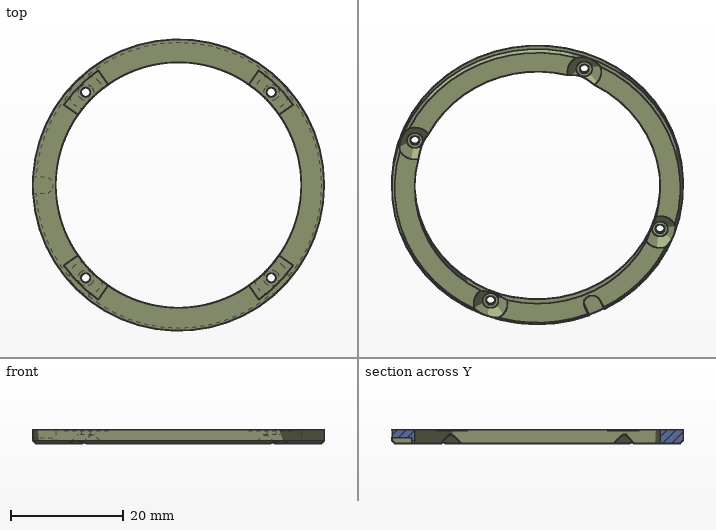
import cadquery as cq
import math

outer_radius = 26.0
bore_radius = 21.9
thickness = 2.5
bottom_chamfer = 0.5

pad_outer_radius = 24.95
pad_half_angle = math.radians(10)
pad_depth = 0.2

station_angles = [45, 135, 225, 315]
screw_circle_radius = 23.4
screw_hole_radius = 1.6 / 2
countersink_radius = 3.0
countersink_depth = 1.6

notch_width = 3.0
notch_height = 1.0
notch_end_center = (outer_radius + bore_radius) / 2


def ring():
    body = cq.Workplane("XY").circle(outer_radius).extrude(thickness)
    body = body.faces("<Z").edges().chamfer(bottom_chamfer)
    bore = cq.Workplane("XY").circle(bore_radius).extrude(thickness)
    return body.cut(bore)


def pad_cutter():
    """Sector about the +X axis, running from inside the bore to the pad's outer arc."""
    corner_x = pad_outer_radius * math.cos(pad_half_angle)
    corner_y = pad_outer_radius * math.sin(pad_half_angle)
    return (
        cq.Workplane("XY", origin=(0, 0, thickness - pad_depth))
        .moveTo(0, 0)
        .lineTo(corner_x, -corner_y)
        .threePointArc((pad_outer_radius, 0), (corner_x, corner_y))
        .close()
        .extrude(pad_depth)
    )


def screw_cutter():
    """Through hole joined to a flat-topped 45-degree cone, widest at the bottom face."""
    hole = cq.Workplane("XY").circle(screw_hole_radius).extrude(thickness)
    seat_radius = countersink_radius - countersink_depth
    cone = cq.Solid.makeCone(countersink_radius, seat_radius, countersink_depth)
    return hole.union(cq.Workplane(cone)).translate((screw_circle_radius, 0, 0))


def notch_cutter():
    round_end = cq.Workplane("XY").center(-notch_end_center, 0).circle(notch_width / 2).extrude(notch_height)
    channel_length = outer_radius - notch_end_center
    channel = (
        cq.Workplane("XY")
        .center(-notch_end_center - channel_length / 2, 0)
        .rect(channel_length, notch_width)
        .extrude(notch_height)
    )
    return round_end.union(channel)


result = ring()
for angle in station_angles:
    for cutter in (pad_cutter(), screw_cutter()):
        result = result.cut(cutter.rotate((0, 0, 0), (0, 0, 1), angle))
result = result.cut(notch_cutter())